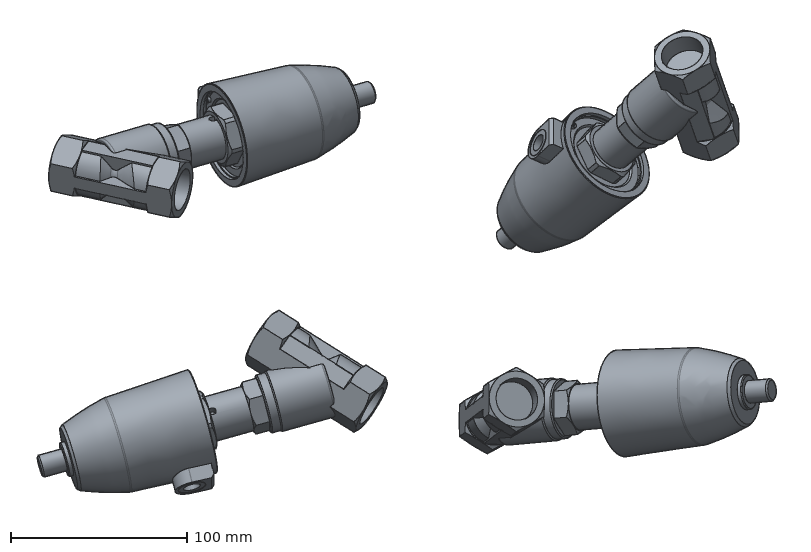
import cadquery as cq
import math

body_length = 75.2
hex_flats = 32.2
end_hex_length = 16.0
port_bore = 24.2
port_depth = 12.0
hex_chamfer_angle = 30.0
slab_half_height = 15.5
slab_bottom = -5.4
slab_top = 4.8
fin_thickness = 7.7
pipe_radius = 15.4
waist_radius = 8.0
waist_centre = -3.0
waist_slope = 40.0
waist_fillet = 3.1
waist_tilt = 14.0

branch_angle = 50.0
branch_origin_x = -13.5

neck_start = 5.0
neck_step = 37.0
neck_end = 43.4
lower_hex_end = 52.6
upper_hex_start = 75.0
housing_start = 79.1
shoulder_start = 129.1
shoulder_end = 130.0
crown_edge = 156.5
housing_end = 158.2
collar_end = 161.0
stem_end = 175.3

neck_radius = 17.9
collar_neck_radius = 17.1
neck_edge = 0.8
neck_base_fillet = 1.2
tube_radius = 13.1
lower_hex_flats = 27.1
upper_hex_flats = 31.9
upper_hex_corner_radius = 17.7
upper_hex_face_radius = 15.4
weep_hole = 4.0
weep_hole_depth = 7.7
weep_hole_station = 73.2
housing_base_radius = 30.5
base_edge = 0.5
shoulder_lower_radius = 27.9
shoulder_upper_radius = 27.7
crown_bulge = 0.6
crown_edge_radius = 19.5
crown_top_radius = 18.2

housing_bore = 52.0
cover_recess = 4.0
cover_thickness = 7.7
cover_pocket = 41.5
cover_pocket_depth = 1.0
clip_thickness = 1.8
clip_width = 1.5
clip_groove_depth = 0.8
clip_gap_angle = 44.0
clip_ear = 3.4
clip_ear_hole = 1.5

block_width = 19.7
block_centre_station = 96.0
block_start = 82.8
block_face = 36.5
block_inner = 21.5
block_tilt = 3.0
block_chamfer = 1.8
air_seat = 16.0
air_seat_depth = 0.3
air_hole = 9.8
air_hole_depth = 13.8

stem_diameter = 13.0
stem_tip_diameter = 11.0
stem_tip_height = 1.0
collar_diameter = 20.0
collar_edge = 0.6

half_length = body_length / 2
half_flats = hex_flats / 2
corner_radius = half_flats / math.cos(math.radians(30))
hex_chamfer = (corner_radius - half_flats) * math.tan(math.radians(hex_chamfer_angle))
web_half_length = half_length - end_hex_length
cover_start = housing_start + cover_recess
cover_end = cover_start + cover_thickness
clip_outer_radius = housing_bore / 2 + clip_groove_depth
upper_hex_end = cover_start + cover_pocket_depth

angle = math.radians(branch_angle)
branch = cq.Location(
    cq.Plane(
        origin=(branch_origin_x, 0, 0),
        xDir=(math.sin(angle), -math.cos(angle), 0),
        normal=(math.cos(angle), math.sin(angle), 0),
    )
)


def on_branch(shape):
    """Move a shape from an upright Z axis onto the branch; local -Y becomes +Z."""
    return cq.Workplane(shape.val().moved(branch))


def turned(points):
    """Solid of revolution about Z from (radius, height) points."""
    return cq.Workplane("XZ").polyline(points).close().revolve(360, (0, 0), (0, 1))


def hexagon(flats, bottom, top, turn=0):
    """Upright hexagonal prism; turn 0 puts corners on the X axis."""
    across_corners = flats / math.cos(math.radians(30))
    prism = cq.Workplane("XY").workplane(offset=bottom).polygon(6, across_corners).extrude(top - bottom)
    return prism.rotate((0, 0, 0), (0, 0, 1), turn)


def box_between(x_range, y_range, z_range):
    """Box from the lower and upper limit on each axis."""
    size = [high - low for low, high in (x_range, y_range, z_range)]
    corner = (x_range[0], y_range[0], z_range[0])
    return cq.Workplane("XY").box(*size, centered=False).translate(corner)


def end_hexagon(start):
    """Hexagonal pipe end with both end edges chamfered, corners on the Z axis."""
    end = start + end_hex_length
    prism = hexagon(hex_flats, start, end)
    envelope = turned([
        (0, start),
        (half_flats, start),
        (corner_radius, start + hex_chamfer),
        (corner_radius, end - hex_chamfer),
        (half_flats, end),
        (0, end),
    ])
    return prism.intersect(envelope).rotate((0, 0, 0), (0, 1, 0), 90)


def waisted_pipe():
    """Outside of the flow passage, with a rounded groove leaning towards the branch."""
    pipe = (
        cq.Workplane("YZ").workplane(offset=-web_half_length).circle(pipe_radius).extrude(2 * web_half_length)
    )
    clear_radius = 2 * pipe_radius
    half_mouth = (clear_radius - waist_radius) / math.tan(math.radians(waist_slope))
    groove = (
        cq.Workplane("XY")
        .moveTo(-half_mouth, clear_radius)
        .lineTo(0, waist_radius)
        .lineTo(half_mouth, clear_radius)
        .close()
        .revolve(360, (0, 0), (1, 0))
    )
    groove = groove.edges(cq.selectors.RadiusNthSelector(0)).fillet(waist_fillet)
    groove = groove.rotate((0, 0, 0), (0, 0, 1), waist_tilt).translate((waist_centre, 0, 0))
    return pipe.cut(groove)


def web():
    """Upper hexagon half, flat-sided slab and bottom fin joining the two ends."""
    x_range = (-web_half_length, web_half_length)
    overlap_range = (x_range[0] - hex_chamfer, x_range[1] + hex_chamfer)
    upper = hexagon(hex_flats, *overlap_range).rotate((0, 0, 0), (0, 1, 0), 90)
    upper = upper.intersect(
        box_between(overlap_range, (slab_top, half_flats), (-corner_radius, corner_radius))
    )
    slab = box_between(x_range, (slab_bottom, slab_top), (-slab_half_height, slab_half_height))
    fin = box_between(overlap_range, (-half_flats, 0), (-fin_thickness / 2, fin_thickness / 2))
    return upper.union(slab).union(fin)


def neck():
    """Inclined round neck that carries the bonnet."""
    lower = (
        cq.Workplane("XY")
        .workplane(offset=neck_start)
        .circle(neck_radius)
        .extrude(neck_step - neck_start)
        .faces("<Z").edges().fillet(neck_base_fillet)
    )
    upper = turned([
        (0, neck_step),
        (neck_radius, neck_step),
        (collar_neck_radius, neck_step + neck_edge),
        (collar_neck_radius, neck_end - neck_edge),
        (collar_neck_radius - neck_edge, neck_end),
        (0, neck_end),
    ])
    above_passage = box_between(
        (-body_length, body_length), (slab_bottom, body_length), (-body_length, body_length)
    )
    return on_branch(lower.union(upper)).intersect(above_passage)


def make_valve_body():
    body = web().union(waisted_pipe()).union(neck())
    for start in (-half_length, web_half_length):
        body = body.union(end_hexagon(start))
    for x, direction in ((-half_length, 1), (half_length, -1)):
        bore = cq.Workplane("YZ").workplane(offset=x).circle(port_bore / 2).extrude(direction * port_depth)
        body = body.cut(bore)
    return body


def make_bonnet():
    """Tube with a lower and an upper hexagon and a weep hole."""
    tube = cq.Workplane("XY").workplane(offset=neck_end).circle(tube_radius).extrude(upper_hex_end - neck_end)
    lower_hex = hexagon(lower_hex_flats, neck_end, lower_hex_end, turn=30)
    lower_corner_radius = lower_hex_flats / 2 / math.cos(math.radians(30))
    lower_drop = (lower_corner_radius - lower_hex_flats / 2) * math.tan(math.radians(hex_chamfer_angle))
    lower_envelope = turned([
        (0, neck_end),
        (lower_corner_radius, neck_end),
        (lower_corner_radius, lower_hex_end - lower_drop),
        (lower_hex_flats / 2, lower_hex_end),
        (0, lower_hex_end),
    ])
    lower_hex = lower_hex.intersect(lower_envelope)
    rise = (upper_hex_corner_radius - upper_hex_face_radius) * math.tan(math.radians(hex_chamfer_angle))
    envelope = turned([
        (0, upper_hex_start),
        (upper_hex_face_radius, upper_hex_start),
        (upper_hex_corner_radius, upper_hex_start + rise),
        (upper_hex_corner_radius, upper_hex_end),
        (0, upper_hex_end),
    ])
    upper_hex = hexagon(upper_hex_flats, upper_hex_start, upper_hex_end).intersect(envelope)
    hole = (
        cq.Workplane("XZ", origin=(0, weep_hole_depth - tube_radius, 0))
        .center(0, weep_hole_station)
        .circle(weep_hole / 2)
        .extrude(2 * weep_hole_depth)
    )
    return on_branch(tube.cut(hole).union(lower_hex).union(upper_hex))


def housing_shell():
    """Solid outside of the housing: a taper with a domed crown."""
    crown_mid = (
        (shoulder_upper_radius + crown_edge_radius) / 2 + crown_bulge,
        (shoulder_end + crown_edge) / 2,
    )
    return (
        cq.Workplane("XZ")
        .moveTo(0, housing_start)
        .lineTo(housing_base_radius - base_edge, housing_start)
        .lineTo(housing_base_radius, housing_start + base_edge)
        .lineTo(shoulder_lower_radius, shoulder_start)
        .lineTo(shoulder_upper_radius, shoulder_end)
        .threePointArc(crown_mid, (crown_edge_radius, crown_edge))
        .lineTo(crown_top_radius, housing_end)
        .lineTo(0, housing_end)
        .close()
        .revolve(360, (0, 0), (0, 1))
    )


def air_block():
    """Side block with one rounded end; its outer face follows the taper of the shell."""
    half_width = block_width / 2
    plane = cq.Plane(origin=(-block_inner, 0, block_centre_station), xDir=(0, 0, 1), normal=(-1, 0, 0))
    length = block_face - block_inner
    tail = block_centre_station - block_start
    block = (
        cq.Workplane(plane)
        .moveTo(-tail, -half_width)
        .lineTo(0, -half_width)
        .threePointArc((half_width, 0), (0, half_width))
        .lineTo(-tail, half_width)
        .close()
        .extrude(length)
    )
    block = block.faces("<X").edges("<Z").chamfer(block_chamfer)
    outer_face = cq.Workplane(plane).workplane(offset=length)
    seat = outer_face.circle(air_seat / 2).extrude(-air_seat_depth)
    hole = outer_face.circle(air_hole / 2).extrude(-air_hole_depth)
    block = block.cut(seat).cut(hole)
    hinge = (-block_face, 0, block_centre_station)
    return block.rotate(hinge, (hinge[0], 1, hinge[2]), block_tilt)


def make_housing():
    bore = (
        cq.Workplane("XY")
        .workplane(offset=housing_start)
        .circle(housing_bore / 2)
        .extrude(cover_end - housing_start)
    )
    clip_groove = (
        cq.Workplane("XY")
        .workplane(offset=cover_start - clip_thickness)
        .circle(clip_outer_radius)
        .extrude(clip_thickness)
    )
    return on_branch(housing_shell().union(air_block()).cut(bore).cut(clip_groove))


def make_cover():
    """Disc closing the housing, with a pocket that seats the bonnet."""
    disc = cq.Workplane("XY").workplane(offset=cover_start).circle(housing_bore / 2).extrude(cover_thickness)
    floor_radius = cover_pocket / 2 - cover_pocket_depth
    pocket = turned([
        (0, cover_start),
        (cover_pocket / 2, cover_start),
        (floor_radius, upper_hex_end),
        (0, upper_hex_end),
    ])
    return on_branch(disc.cut(pocket))


def make_retaining_clip():
    """Open ring in a groove under the cover, with a drilled ear at each end of its gap."""
    ear_centre = clip_outer_radius - clip_width / 2 - clip_ear / 2
    half_gap = math.radians(clip_gap_angle / 2)
    base = cq.Workplane("XY").workplane(offset=cover_start - clip_thickness)
    ring = base.circle(clip_outer_radius).circle(clip_outer_radius - clip_width).extrude(clip_thickness)
    far = 2 * clip_outer_radius
    gap = (
        base.moveTo(0, 0)
        .lineTo(-far, far * math.tan(half_gap))
        .lineTo(-far, -far * math.tan(half_gap))
        .close()
        .extrude(clip_thickness)
    )
    ring = ring.cut(gap)
    ear_angle = half_gap + clip_ear / 2 / ear_centre
    ear_points = [
        (-ear_centre * math.cos(ear_angle), side * ear_centre * math.sin(ear_angle)) for side in (-1, 1)
    ]
    ears = base.pushPoints(ear_points).circle(clip_ear / 2).extrude(clip_thickness)
    holes = base.pushPoints(ear_points).circle(clip_ear_hole / 2).extrude(clip_thickness)
    return on_branch(ring.union(ears).cut(holes))


def make_indicator():
    """Stem on the crown with a round collar at its foot and a bevelled tip."""
    collar_radius = collar_diameter / 2
    stem_radius = stem_diameter / 2
    return on_branch(turned([
        (0, housing_end),
        (collar_radius, housing_end),
        (collar_radius, collar_end - collar_edge),
        (collar_radius - collar_edge, collar_end),
        (stem_radius, collar_end),
        (stem_radius, stem_end - stem_tip_height),
        (stem_tip_diameter / 2, stem_end),
        (0, stem_end),
    ]))


valve_body = make_valve_body()
bonnet = make_bonnet()
housing = make_housing()
cover = make_cover()
retaining_clip = make_retaining_clip()
indicator = make_indicator()

result = cq.Compound.makeCompound([
    valve_body.val(),
    bonnet.val(),
    housing.val(),
    cover.val(),
    retaining_clip.val(),
    indicator.val(),
])